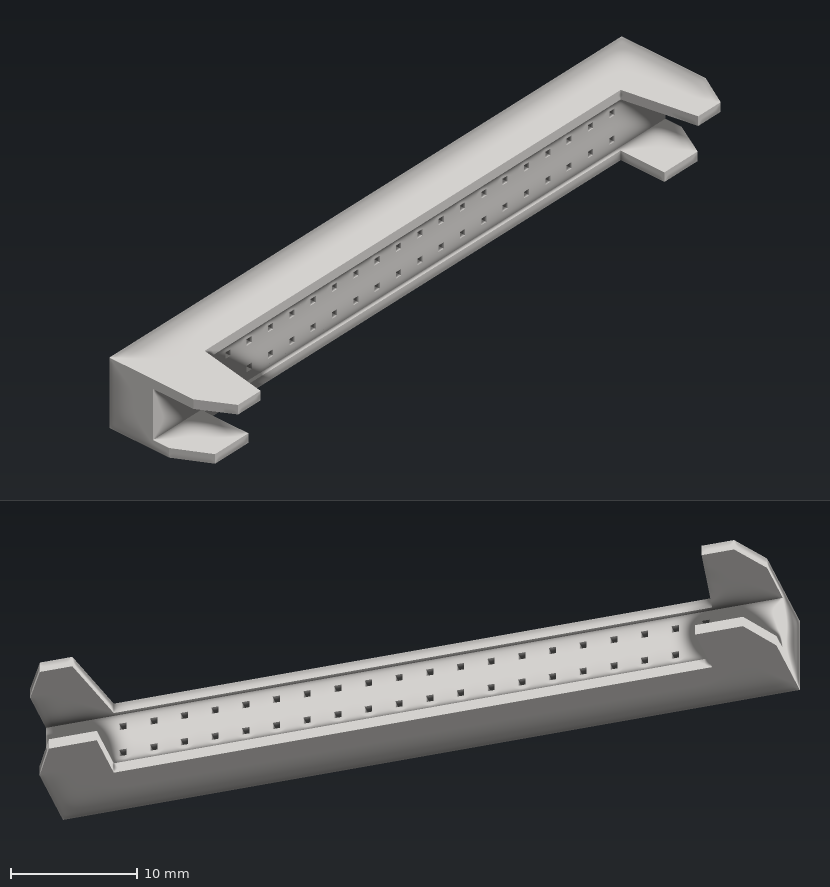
import cadquery as cq

length = 60.95
height = 6.7
half_length = length / 2
half_height = height / 2

bar_depth = 4.65
plate_depth = 5.0
plate_thickness = 0.9

upper_reach = 12.1
lower_reach = 9.65
upper_corner = 8.9
lower_corner = 6.35
lug_width = 5.7
tip_chamfer = 1.75
upper_tip_inset = 4.45

columns = 20
rows = 2
hole_span = 48.2
hole_pitch = hole_span / (columns - 1)
hole_side = 0.6


def make_plate(bottom_z, reach, corner, tip_inset):
    """Flat C-shaped plate: a strip with a lug at each end.

    Each lug is chamfered outside from corner to reach, and its inner edge
    runs from lug_width at the strip to tip_inset at the tip.
    """
    points = [
        (0, -half_length),
        (corner, -half_length),
        (reach, -half_length + tip_chamfer),
        (reach, -half_length + tip_inset),
        (plate_depth, -half_length + lug_width),
        (plate_depth, half_length - lug_width),
        (reach, half_length - tip_inset),
        (reach, half_length - tip_chamfer),
        (corner, half_length),
        (0, half_length),
    ]
    outline = cq.Workplane("XY").workplane(offset=bottom_z).polyline(points).close()
    return outline.extrude(plate_thickness)


bar = cq.Workplane("XY").box(bar_depth, length, height, centered=(False, True, True))

upper_plate = make_plate(half_height - plate_thickness, upper_reach, upper_corner, upper_tip_inset)
lower_plate = make_plate(-half_height, lower_reach, lower_corner, lug_width)

pin_holes = (
    cq.Workplane("YZ")
    .rarray(hole_pitch, hole_pitch, columns, rows)
    .rect(hole_side, hole_side)
    .extrude(bar_depth)
)

result = bar.union(upper_plate).union(lower_plate).cut(pin_holes)